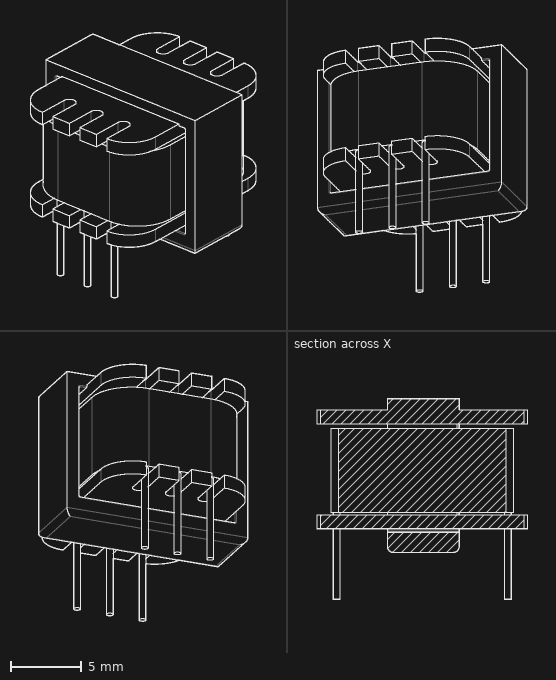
import cadquery as cq

core_width = 14.03
core_depth = 5.13
core_height = 10.97
core_side_wall = 0.96
core_top_wall = 0.99
core_bottom_wall = 1.45
core_bottom_round = 0.45
window_corner_radius = 0.09
window_rim_round = 0.08
core_offset_y = 0.08

flange_width = 10.97
flange_length = 15.01
flange_thickness = 1.0
flange_corner_radius = 2.46
top_flange_recess = 0.81
bottom_flange_z = 1.68
tube_width = 8.2
tube_depth = 4.98

slot_pitch = 2.54
slot_width = 0.98
slot_length = 2.87

winding_length = 13.01
winding_corner_radius = 3.08
winding_z = 2.85
winding_height = 6.0

pin_diameter = 0.5
pin_row_y = 6.1
pin_drop = 3.33

top_flange_z = core_height - top_flange_recess - flange_thickness
column_positions = [-slot_pitch, 0, slot_pitch]


def block(width, length, height, base_z):
    """Box centred on the Z axis, standing on base_z."""
    box = cq.Workplane("XY").box(width, length, height, centered=(True, True, False))
    return box.translate((0, 0, base_z))


def make_core():
    window_height = core_height - core_top_wall - core_bottom_wall
    window = block(core_width - 2 * core_side_wall, core_depth, window_height, core_bottom_wall)
    window = window.edges("|Y").fillet(window_corner_radius)
    body = block(core_width, core_depth, core_height, 0)
    body = body.faces("<Z").edges().fillet(core_bottom_round)
    frame = body.cut(window)
    half_zone = (core_width - core_side_wall) / 2
    rim_zone = cq.selectors.BoxSelector(
        (-half_zone, -core_depth, core_bottom_wall / 2),
        (half_zone, core_depth, core_height - core_top_wall / 2),
    )
    frame = frame.faces("<Y or >Y").edges(rim_zone).fillet(window_rim_round)
    return frame.translate((0, core_offset_y, 0))


def make_flange(base_z):
    flange = block(flange_width, flange_length, flange_thickness, base_z)
    flange = flange.edges("|Z").fillet(flange_corner_radius)
    end_points = [(x, y) for x in column_positions for y in (-flange_length / 2, flange_length / 2)]
    slots = (
        cq.Workplane("XY", origin=(0, 0, base_z))
        .pushPoints(end_points)
        .slot2D(2 * slot_length, slot_width, angle=90)
        .extrude(flange_thickness)
    )
    return flange.cut(slots)


def make_tube():
    return block(tube_width, tube_depth, top_flange_z - bottom_flange_z, bottom_flange_z)


def make_winding():
    winding = block(flange_width, winding_length, winding_height, winding_z)
    return winding.edges("|Z").fillet(winding_corner_radius)


def make_pins():
    pin_points = [(x, y) for x in column_positions for y in (-pin_row_y, pin_row_y)]
    return (
        cq.Workplane("XY", origin=(0, 0, -pin_drop))
        .pushPoints(pin_points)
        .circle(pin_diameter / 2)
        .extrude(pin_drop + winding_z)
    )


result = (
    make_core()
    .union(make_flange(bottom_flange_z))
    .union(make_flange(top_flange_z))
    .union(make_tube())
    .union(make_winding())
    .union(make_pins())
)